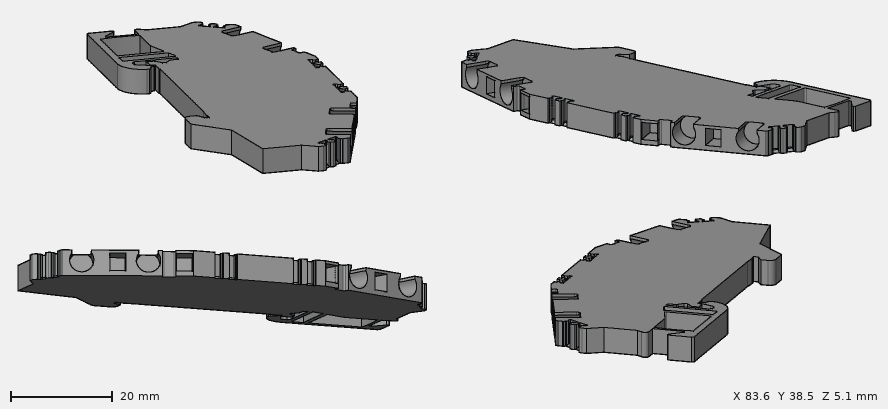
import cadquery as cq
import math

HALF_LENGTH = 41.8
HEIGHT = 38.5
THICKNESS = 5.1

TOP_HALF = 14.0
SHOULDER_END = (38.2, 29.5)
LIP_X = 38.4
SIDE_X = 40.0
SHOULDER_ANGLE = math.atan2(HEIGHT - SHOULDER_END[1], SHOULDER_END[0] - TOP_HALF)

FEATURE_PITCH = 13.1
GROOVE_START = 3.5
GROOVE_WIDTH = 2.6
GROOVE_DEPTH = 1.2
GROOVE_CORNER = 0.3
SCREW_START = 8.9
SCREW_DEPTH = 5.0
SCREW_RADIUS = 4.8 / 2
SCREW_AXIS_Z = 3.1
SCREW_OPENING = 3.85
SCREW_CORNER = 0.7
POCKET_START = 1.75
POCKET_LENGTH = 3.2
POCKET_BOTTOM = 1.0
POCKET_TOP = 4.5
POCKET_DEPTH = SCREW_DEPTH

SLOT_PITCH = 3.0
SLOT_MOUTH_HALF = 1.75 / 2
SLOT_NECK_HALF = 1.25 / 2
SLOT_HEAD_HALF = 2.25 / 2
SLOT_NECK_TOP = 0.63
SLOT_HEAD_TOP = 1.25
SLOT_HEAD_SHOULDER = 1.6
SLOT_DEPTH = 2.0
SLOT_FLOOR_Z = 0.5
SLOT_RAMP_START = 0.5
TOP_SLOT_STARTS = (-11.0, 5.5)
RAMP_SLOT = (38.95, 27.1)
RAMP_ANGLE = math.radians(58)

BODY_BOTTOM = 7.0
PAD_BOTTOM = 6.85
LEFT_BOTTOM = 9.6
HOOK_BOTTOM = 2.25
HOOK_LEFT = 15.7
HOOK_RADIUS = 2.4 / 2
NOTCH_BOTTOM = 3.0
FOOT_TOP = 1.5
WINDOW_TOP = 12.4
WINDOW_SLOPE_START = (-29.9, LEFT_BOTTOM)
WINDOW_SLOPE_END = -22.6
LEFT_POST = (-37.8, -36.9)
LEFT_POST_WAIST = -37.1
MIDDLE_POST = (-25.6, -24.5)
RIGHT_POST = (-22.0, -21.0)

CORNER_RADIUS = 0.3
FEATURES_PER_GROUP = 2
OVERCUT = 1.7


def on_ramp(distance):
    """Point on the right marker ramp, measured downward from its first slot."""
    return (
        RAMP_SLOT[0] + distance * math.cos(RAMP_ANGLE),
        RAMP_SLOT[1] - distance * math.sin(RAMP_ANGLE),
    )


def mirrored(point):
    return (-point[0], point[1])


def prism(outline):
    return outline.close().extrude(THICKNESS)


def make_body():
    ramp_top_distance = (LIP_X - RAMP_SLOT[0]) / math.cos(RAMP_ANGLE)
    ramp_top = on_ramp(ramp_top_distance)
    ramp_end = on_ramp(SLOT_PITCH + SLOT_MOUTH_HALF)
    lip = (LIP_X, 29.0)
    lobe_mid = (41.55, 23.5)
    lobe_top = (HALF_LENGTH, 22.9)
    lobe_bottom = (HALF_LENGTH, 21.9)
    side_top = (SIDE_X, 19.0)
    outline = (
        cq.Workplane("XY")
        .moveTo(-TOP_HALF, HEIGHT)
        .lineTo(TOP_HALF, HEIGHT)
        .lineTo(*SHOULDER_END)
        .lineTo(*lip)
        .lineTo(*ramp_top)
        .lineTo(*ramp_end)
        .threePointArc(lobe_mid, lobe_top)
        .lineTo(*lobe_bottom)
        .lineTo(*side_top)
        .lineTo(SIDE_X, 11.0)
        .lineTo(26.7, 8.8)
        .lineTo(20.6, HOOK_BOTTOM)
        .lineTo(HOOK_LEFT + HOOK_RADIUS, HOOK_BOTTOM)
        .radiusArc((HOOK_LEFT, HOOK_BOTTOM + HOOK_RADIUS), HOOK_RADIUS)
        .lineTo(HOOK_LEFT, 4.9)
        .lineTo(16.7, 5.7)
        .lineTo(17.5, 6.0)
        .lineTo(17.5, BODY_BOTTOM)
        .lineTo(16.4, BODY_BOTTOM)
        .lineTo(16.4, PAD_BOTTOM)
        .lineTo(15.9, PAD_BOTTOM)
        .lineTo(13.7, BODY_BOTTOM)
        .lineTo(-15.2, BODY_BOTTOM)
        .lineTo(-15.2, PAD_BOTTOM)
        .lineTo(-17.7, PAD_BOTTOM)
        .lineTo(-17.9, 6.0)
        .lineTo(-18.5, 5.85)
        .lineTo(-20.5, 5.85)
        .lineTo(-20.2, 6.2)
        .lineTo(-20.2, 7.4)
        .lineTo(-18.7, 8.7)
        .lineTo(-18.7, 9.45)
        .lineTo(-20.0, 10.6)
        .lineTo(-20.0, WINDOW_TOP)
        .lineTo(RIGHT_POST[0], WINDOW_TOP)
        .lineTo(WINDOW_SLOPE_END, WINDOW_TOP)
        .lineTo(*WINDOW_SLOPE_START)
        .lineTo(-40.3, LEFT_BOTTOM)
        .threePointArc((-40.9, 10.2), (-40.6, 10.95))
        .lineTo(-SIDE_X, 12.0)
        .lineTo(*mirrored(side_top))
        .lineTo(*mirrored(lobe_bottom))
        .lineTo(*mirrored(lobe_top))
        .threePointArc(mirrored(lobe_mid), mirrored(ramp_end))
        .lineTo(*mirrored(ramp_top))
        .lineTo(*mirrored(lip))
        .lineTo(*mirrored(SHOULDER_END))
    )
    return prism(outline)


def make_foot():
    """Sprung rail foot: a barb on the left, a bar and a curled catch on the right."""
    outline = (
        cq.Workplane("XY")
        .moveTo(-40.8, 0)
        .lineTo(-20.5, 0)
        .threePointArc((-17.4, 1.25), (-15.6, 4.5))
        .lineTo(-15.6, 5.0)
        .lineTo(-16.0, 5.4)
        .lineTo(-16.8, 5.6)
        .lineTo(-17.2, 6.5)
        .lineTo(-17.55, 6.5)
        .lineTo(-18.65, 4.0)
        .threePointArc((-19.0, 3.35), (-19.6, NOTCH_BOTTOM))
        .lineTo(-20.4, NOTCH_BOTTOM)
        .lineTo(RIGHT_POST[1], 3.6)
        .lineTo(RIGHT_POST[1], FOOT_TOP)
        .lineTo(LEFT_POST[0], FOOT_TOP)
        .lineTo(LEFT_POST[0], NOTCH_BOTTOM)
        .lineTo(-38.4, NOTCH_BOTTOM)
        .lineTo(-40.55, 5.4)
        .lineTo(-41.0, 5.5)
        .lineTo(-41.2, 5.3)
        .lineTo(-41.2, 0.4)
    )
    return prism(outline)


def make_posts():
    """Three spring posts joining the foot to the body."""
    flexing = (
        cq.Workplane("XY")
        .moveTo(LEFT_POST[0], FOOT_TOP)
        .lineTo(LEFT_POST[1], FOOT_TOP)
        .threePointArc((LEFT_POST_WAIST, (FOOT_TOP + LEFT_BOTTOM) / 2), (LEFT_POST[1], LEFT_BOTTOM))
        .lineTo(LEFT_POST[0], LEFT_BOTTOM)
    )
    posts = prism(flexing)
    for left, right in (MIDDLE_POST, RIGHT_POST):
        post = cq.Workplane("XY").box(right - left, WINDOW_TOP - FOOT_TOP, THICKNESS, centered=False)
        posts = posts.union(post.translate((left, FOOT_TOP, 0)))
    return posts


def on_both_sides(tool):
    return tool.union(tool.mirror("YZ"))


def place_on_shoulder(tool, distance):
    """Lay a tool, drawn with the surface at Y = 0, on both shoulders."""
    turned = tool.translate((distance, 0, 0)).rotate((0, 0, 0), (0, 0, 1), -math.degrees(SHOULDER_ANGLE))
    return on_both_sides(turned.translate((TOP_HALF, HEIGHT, 0)))


def groove_cutter():
    return (
        cq.Workplane("XY")
        .box(GROOVE_WIDTH, GROOVE_DEPTH + OVERCUT, THICKNESS, centered=False)
        .edges("|Z and <Y")
        .fillet(GROOVE_CORNER)
        .translate((0, -GROOVE_DEPTH, 0))
    )


def screw_cutter():
    """Round bore with a parallel slot that opens it to the upper face."""
    length = SCREW_DEPTH + OVERCUT
    bore = (
        cq.Workplane("XZ", origin=(0, OVERCUT, SCREW_AXIS_Z))
        .circle(SCREW_RADIUS)
        .extrude(length)
    )
    opening = (
        cq.Workplane("XY", origin=(0, OVERCUT - length / 2, SCREW_AXIS_Z))
        .rect(SCREW_OPENING, length)
        .extrude(THICKNESS - SCREW_AXIS_Z)
        .edges("|Z and <Y")
        .fillet(SCREW_CORNER)
    )
    return bore.union(opening)


def pocket_cutter():
    return (
        cq.Workplane("XY")
        .box(POCKET_LENGTH, POCKET_DEPTH, POCKET_TOP - POCKET_BOTTOM, centered=(True, False, False))
        .translate((0, -POCKET_DEPTH, POCKET_BOTTOM))
    )


def slot_cutter():
    """T-slot open to the upper face, with a floor that ramps down to the mouth."""
    right_side = [
        (SLOT_MOUTH_HALF, OVERCUT),
        (SLOT_MOUTH_HALF, -SLOT_RAMP_START),
        (SLOT_NECK_HALF, -SLOT_NECK_TOP),
        (SLOT_NECK_HALF, -SLOT_HEAD_TOP),
        (SLOT_MOUTH_HALF, -SLOT_HEAD_TOP),
        (SLOT_HEAD_HALF, -SLOT_HEAD_SHOULDER),
        (SLOT_HEAD_HALF, -SLOT_DEPTH),
    ]
    left_side = [mirrored(point) for point in reversed(right_side)]
    tee = prism(cq.Workplane("XY").polyline(right_side + left_side))
    floor = (
        cq.Workplane("YZ")
        .moveTo(-SLOT_RAMP_START, 0)
        .lineTo(-SLOT_HEAD_TOP, SLOT_FLOOR_Z)
        .lineTo(-SLOT_DEPTH, SLOT_FLOOR_Z)
        .lineTo(-SLOT_DEPTH, 0)
        .close()
        .extrude(SLOT_HEAD_HALF, both=True)
    )
    return tee.cut(floor)


def cut_shoulders(part):
    part = part.cut(place_on_shoulder(groove_cutter(), GROOVE_START))
    for index in range(FEATURES_PER_GROUP):
        shift = index * FEATURE_PITCH
        part = part.cut(place_on_shoulder(screw_cutter(), SCREW_START + shift))
        part = part.cut(place_on_shoulder(pocket_cutter(), POCKET_START + shift))
    return part


def cut_marker_slots(part):
    slot = slot_cutter()
    ramp_slot = slot.rotate((0, 0, 0), (0, 0, 1), -math.degrees(RAMP_ANGLE))
    for index in range(FEATURES_PER_GROUP):
        shift = index * SLOT_PITCH
        for start in TOP_SLOT_STARTS:
            part = part.cut(slot.translate((start + shift, HEIGHT, 0)))
        x, y = on_ramp(shift)
        part = part.cut(on_both_sides(ramp_slot.translate((x, y, 0))))
    return part


def round_corners(part, corners):
    """Round the upright edges that stand at the given corners."""
    for x, y in corners:
        upright = part.edges("|Z")
        part = upright.edges(cq.NearestToPointSelector((x, y, THICKNESS / 2))).fillet(CORNER_RADIUS)
    return part


def round_windows(part):
    left_post_side = MIDDLE_POST[0]
    rise = (left_post_side - WINDOW_SLOPE_START[0]) / (WINDOW_SLOPE_END - WINDOW_SLOPE_START[0])
    slope_height = LEFT_BOTTOM + rise * (WINDOW_TOP - LEFT_BOTTOM)
    corners = [
        (left_post_side, FOOT_TOP),
        (left_post_side, slope_height),
        (RIGHT_POST[0], FOOT_TOP),
    ]
    return round_corners(part, corners)


def round_ends(part):
    """Round the shoulder ends and the tooth between the two slots of each marker ramp."""
    tooth = [on_ramp(SLOT_MOUTH_HALF), on_ramp(SLOT_PITCH - SLOT_MOUTH_HALF)]
    corners = [SHOULDER_END] + tooth
    return round_corners(part, corners + [mirrored(corner) for corner in corners])


housing = make_body().union(make_foot()).union(make_posts())
housing = round_windows(housing)
housing = cut_shoulders(housing)
housing = cut_marker_slots(housing)
result = round_ends(housing)